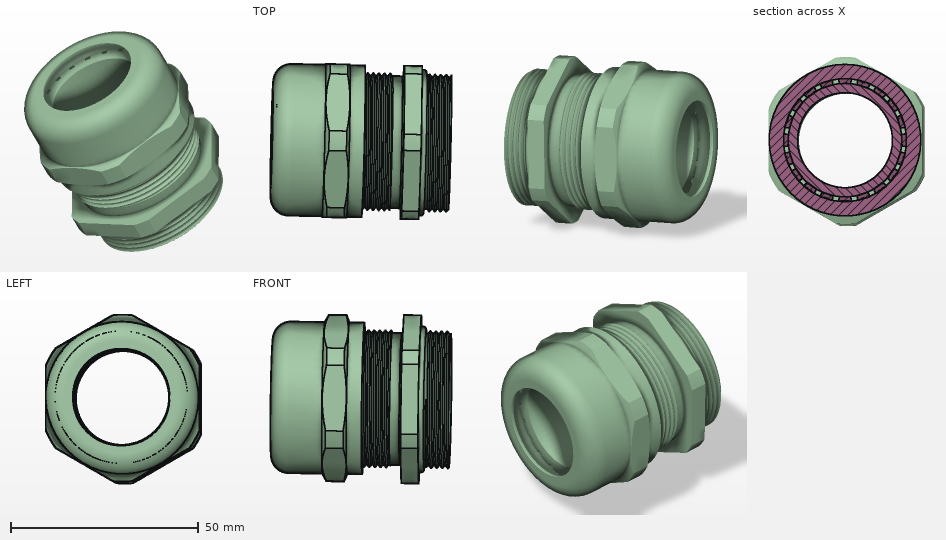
import cadquery as cq
import math

TOTAL_LENGTH = 47.6
ACROSS_FLATS = 41.0

SLOPE_Y = -0.023
SLOPE_Z = -0.0155

CAP_DIA = 40.62
CAP_LENGTH = 24.45
CAP_NOSE_RADIUS = 4.95
CAP_MOUTH_DIA = 25.8
CAP_MOUTH_FLARE_DIA = 26.1
CAP_MOUTH_FLARE_START = 0.35
CAP_LIP = 0.95
CAP_POCKET_DIA = 35.3
CAP_POCKET_DEPTH = 4.0
CAP_HEX_START = 13.85
CAP_HEX_END = 20.45
CAP_HEX_CORNER_DIA = 44.6
CAP_HEX_FRONT_BEVEL = 1.1
CAP_HEX_BACK_BEVEL = 0.8

BODY_DIA = 35.4
BODY_START = CAP_HEX_START
BODY_HEX_START = 34.95
BODY_HEX_END = 39.6
BODY_HEX_CORNER_DIA = 45.05
NECK_GROOVE_WIDTH = 0.5
NECK_GROOVE_DIA = 34.94

THREAD_PITCH = 1.5
RIDGE_HEIGHT = 0.65
RIDGE_BASE = 1.05
RIDGE_SINK = 0.1
NECK_THREAD_END = 31.9
THREAD_CREST = 31.6

RING_DIA = 39.1
RING_SECTION_DIA = 1.9
RING_STAND_OFF = 0.45
RING_CENTRE = BODY_HEX_END + RING_STAND_OFF

SEAL_FRONT = 5.45
SEAL_SEAT = 23.4
SEAL_BORE_DIA = 25.24
SEAL_DIA = 30.44
CLAW_DIA = 32.69
SLOT_COUNT = 20
SLOT_WIDTH = 1.6
SLOT_LENGTH = BODY_START - SEAL_FRONT


def cylinder(diameter, start, end):
    return cq.Workplane("XY").workplane(offset=start).circle(diameter / 2).extrude(end - start)


def tube(outer_dia, inner_dia, start, end):
    return cylinder(outer_dia, start, end).cut(cylinder(inner_dia, start, end))


def revolve_profile(profile):
    return profile.close().revolve(360, (0, 0, 0), (0, 1, 0))


def hexagon(corner_dia, start, end):
    """Hexagonal prism whose six corners are rounded off by a cylinder."""
    prism = cq.Workplane("XY").workplane(offset=start)
    prism = prism.polygon(6, ACROSS_FLATS / math.cos(math.pi / 6)).extrude(end - start)
    return prism.intersect(cylinder(corner_dia, start, end))


def threaded_section(start, end):
    """Core cylinder carrying a V-shaped helical ridge, cut square at both ends."""
    turns_back = math.ceil((THREAD_CREST - start) / THREAD_PITCH) + 1
    sweep_start = THREAD_CREST - turns_back * THREAD_PITCH
    sweep_length = end - sweep_start + THREAD_PITCH
    root = BODY_DIA / 2
    crest = root + RIDGE_HEIGHT
    sunk = root - RIDGE_SINK
    half_base = RIDGE_BASE / 2 * (crest - sunk) / RIDGE_HEIGHT
    path = cq.Wire.makeHelix(THREAD_PITCH, sweep_length, root).translate(cq.Vector(0, 0, sweep_start))
    ridge = (
        cq.Workplane("XZ")
        .moveTo(sunk, sweep_start - half_base)
        .lineTo(crest, sweep_start)
        .lineTo(sunk, sweep_start + half_base)
        .close()
        .sweep(cq.Workplane(path), isFrenet=True)
    )
    core = cylinder(BODY_DIA, sweep_start - THREAD_PITCH, end + 3 * THREAD_PITCH)
    return core.union(ridge).intersect(cylinder(ACROSS_FLATS, start, end))


def cap_cavity():
    """Mouth flaring slightly inwards, undercut pocket that tapers onto the claw, then the socket for the body."""
    mouth = CAP_MOUTH_DIA / 2
    pocket = CAP_POCKET_DIA / 2
    claw_hole = CLAW_DIA / 2
    socket = BODY_DIA / 2
    profile = (
        cq.Workplane("XZ")
        .lineTo(mouth, 0)
        .lineTo(mouth, CAP_MOUTH_FLARE_START)
        .lineTo(CAP_MOUTH_FLARE_DIA / 2, CAP_LIP)
        .lineTo(pocket, CAP_LIP)
        .lineTo(pocket, CAP_POCKET_DEPTH)
        .lineTo(claw_hole, SEAL_FRONT)
        .lineTo(claw_hole, BODY_START)
        .lineTo(socket, BODY_START)
        .lineTo(socket, CAP_LENGTH)
        .lineTo(0, CAP_LENGTH)
    )
    return revolve_profile(profile)


def make_cap():
    outer = CAP_DIA / 2
    profile = (
        cq.Workplane("XZ")
        .lineTo(outer - CAP_NOSE_RADIUS, 0)
        .radiusArc((outer, CAP_NOSE_RADIUS), -CAP_NOSE_RADIUS)
        .lineTo(outer, CAP_LENGTH)
        .lineTo(0, CAP_LENGTH)
    )
    cap = revolve_profile(profile)

    corner = CAP_HEX_CORNER_DIA / 2
    bevels = (
        cq.Workplane("XZ")
        .moveTo(0, CAP_HEX_START)
        .lineTo(outer, CAP_HEX_START)
        .lineTo(corner, CAP_HEX_START + CAP_HEX_FRONT_BEVEL)
        .lineTo(corner, CAP_HEX_END - CAP_HEX_BACK_BEVEL)
        .lineTo(outer, CAP_HEX_END)
        .lineTo(0, CAP_HEX_END)
    )
    wrench_hex = hexagon(CAP_HEX_CORNER_DIA, CAP_HEX_START, CAP_HEX_END)
    cap = cap.union(wrench_hex.intersect(revolve_profile(bevels)))

    return cap.cut(cap_cavity())


def make_body():
    body = cylinder(BODY_DIA, BODY_START, TOTAL_LENGTH)
    body = body.union(hexagon(BODY_HEX_CORNER_DIA, BODY_HEX_START, BODY_HEX_END))
    body = body.union(threaded_section(CAP_LENGTH, NECK_THREAD_END))
    body = body.union(threaded_section(BODY_HEX_END + RING_SECTION_DIA, TOTAL_LENGTH))
    groove_start = BODY_HEX_START - NECK_GROOVE_WIDTH
    groove = tube(ACROSS_FLATS, NECK_GROOVE_DIA, groove_start, BODY_HEX_START)
    body = body.cut(groove).cut(make_sealing_ring())
    body = body.cut(cylinder(CLAW_DIA, BODY_START, SEAL_SEAT))
    return body.cut(cylinder(SEAL_DIA, SEAL_SEAT, TOTAL_LENGTH))


def make_sealing_ring():
    section_centre = (RING_DIA - RING_SECTION_DIA) / 2
    section = cq.Workplane("XZ").pushPoints([(section_centre, RING_CENTRE)]).circle(RING_SECTION_DIA / 2)
    return section.revolve(360, (0, 0, 0), (0, 1, 0))


def make_seal():
    return tube(SEAL_DIA, SEAL_BORE_DIA, SEAL_FRONT, SEAL_SEAT)


def make_claw():
    claw = tube(CLAW_DIA, SEAL_DIA, SEAL_FRONT, SEAL_SEAT)
    slot = (
        cq.Workplane("XY")
        .box(CLAW_DIA / 2, SLOT_WIDTH, SLOT_LENGTH, centered=(False, True, False))
        .translate((0, 0, SEAL_FRONT))
    )
    slot_pitch = 360 / SLOT_COUNT
    for index in range(SLOT_COUNT):
        claw = claw.cut(slot.rotate((0, 0, 0), (0, 0, 1), (index + 0.5) * slot_pitch))
    return claw


gland_plane = cq.Plane(origin=(0, 0, 0), xDir=(-SLOPE_Z, 0, 1), normal=(1, SLOPE_Y, SLOPE_Z))

cap = make_cap()
body = make_body()
sealing_ring = make_sealing_ring()
seal = make_seal()
claw = make_claw()

result = cq.Compound.makeCompound(
    [part.val().moved(gland_plane.location) for part in (cap, body, sealing_ring, seal, claw)]
)